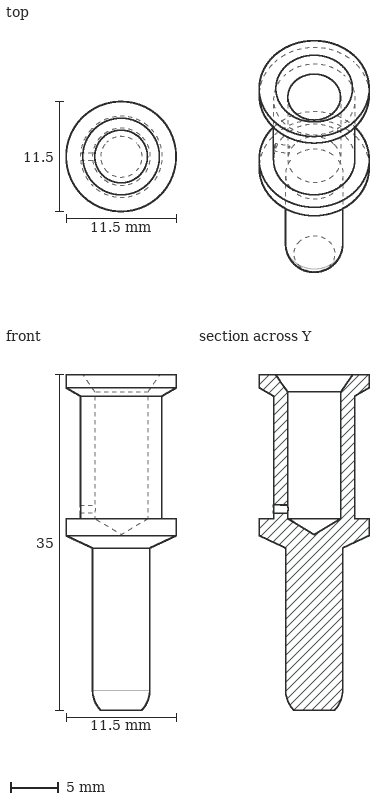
import cadquery as cq
import math

total_length = 35.0
collar_top_z = 20.0

flange_diameter = 11.5
barrel_diameter = 8.5
shaft_diameter = 6.0

rim_slope = 30.0
collar_slope = 25.0
rim_total_height = 2.25
collar_edge_thickness = 1.8

tip_height = 2.1

bore_diameter = 5.5
mouth_diameter = 8.0
mouth_depth = 1.8
bore_floor_z = collar_top_z
drill_point_angle = 118.0

vent_diameter = 0.8
vent_z = 21.0

flange_radius = flange_diameter / 2
barrel_radius = barrel_diameter / 2
shaft_radius = shaft_diameter / 2
bore_radius = bore_diameter / 2
mouth_radius = mouth_diameter / 2


def cone_height(inner_radius, slope):
    """Height of a flange's conical underside, from inner_radius out to its edge."""
    return (flange_radius - inner_radius) * math.tan(math.radians(slope))


def make_body():
    """Solid turned body: rounded shaft, collar, barrel and rim."""
    tip_flat_radius = math.sqrt(shaft_radius**2 - tip_height**2)
    arc_mid_angle = math.asin(tip_height / shaft_radius) / 2
    arc_mid = (
        shaft_radius * math.cos(arc_mid_angle),
        tip_height - shaft_radius * math.sin(arc_mid_angle),
    )
    collar_edge_z = collar_top_z - collar_edge_thickness
    shaft_end_z = collar_edge_z - cone_height(shaft_radius, collar_slope)
    barrel_end_z = total_length - rim_total_height
    rim_edge_z = barrel_end_z + cone_height(barrel_radius, rim_slope)
    return (
        cq.Workplane("XZ")
        .lineTo(tip_flat_radius, 0)
        .threePointArc(arc_mid, (shaft_radius, tip_height))
        .lineTo(shaft_radius, shaft_end_z)
        .lineTo(flange_radius, collar_edge_z)
        .lineTo(flange_radius, collar_top_z)
        .lineTo(barrel_radius, collar_top_z)
        .lineTo(barrel_radius, barrel_end_z)
        .lineTo(flange_radius, rim_edge_z)
        .lineTo(flange_radius, total_length)
        .lineTo(0, total_length)
        .close()
        .revolve(360, (0, 0), (0, 1))
    )


def make_bore():
    """Cutter for the blind bore, its countersink and its conical floor."""
    point_depth = bore_radius / math.tan(math.radians(drill_point_angle / 2))
    return (
        cq.Workplane("XZ")
        .moveTo(0, bore_floor_z - point_depth)
        .lineTo(bore_radius, bore_floor_z)
        .lineTo(bore_radius, total_length - mouth_depth)
        .lineTo(mouth_radius, total_length)
        .lineTo(0, total_length)
        .close()
        .revolve(360, (0, 0), (0, 1))
    )


def make_vent():
    """Cutter for the vent, running from the bore axis out past the -X wall."""
    return (
        cq.Workplane("YZ")
        .center(0, vent_z)
        .circle(vent_diameter / 2)
        .extrude(-flange_radius)
    )


result = make_body().cut(make_bore()).cut(make_vent())